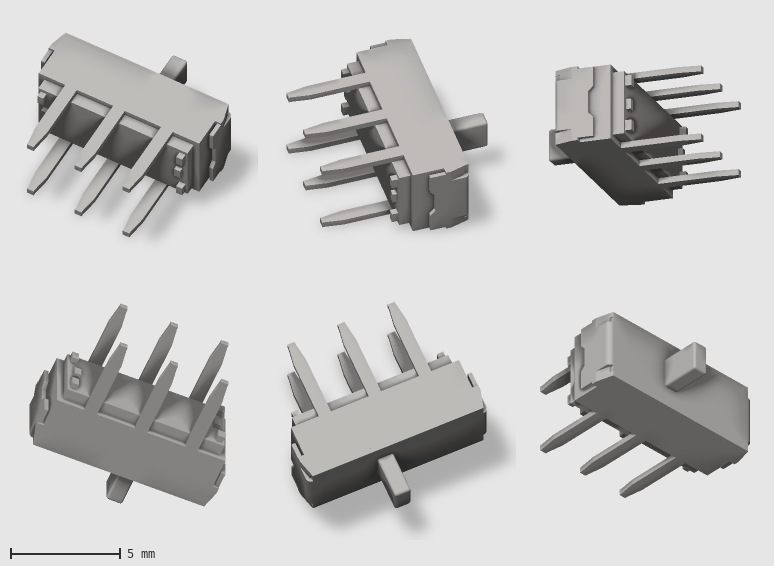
import cadquery as cq


body_length = 9.0
body_height = 3.6

head_depth = 1.15
trunk_length = 8.39
trunk_end = 2.65
base_length = 7.79
base_end = 3.2
head_chamfer_x = 0.24
head_chamfer_y = 0.89

foot_height = 0.495
foot_width = 0.315
corner_foot_x = 3.63
corner_foot_z = 1.09
corner_foot_end = 3.52
middle_foot_x = 3.47
middle_foot_end = 3.43

knob_x = 0.63
knob_width = 0.79
knob_height = 1.53
knob_tip = 2.0
knob_fillet = 0.12

sheet = 0.2
bend_radius = 0.25
plate_length = body_length - 2 * bend_radius
plate_height = 3.08
lug_length = 5.85
strap_height = 2.44
flap_height = 3.37
flap_end = 1.9
notch_depth = 0.24
notch_floor_height = 1.0
notch_mouth_height = notch_floor_height + 2 * notch_depth

pin_count = 3
pin_pitch = 2.5
pin_width = 0.61
pin_tip_width = 0.36
pin_start = 1.8
pin_taper_start = 5.49
pin_taper_end = 6.35
pin_end = 6.5
base_height = 3.02
pin_thickness = (body_height - base_height) / 2


def block(length, y_front, y_back, height, x=0, z=0):
    """A box centred on x and z that runs from y_front to y_back along Y."""
    depth = abs(y_back - y_front)
    return cq.Workplane("XY").box(length, depth, height).translate((x, (y_front + y_back) / 2, z))


def make_knob():
    """The knob bar, rounded along its length and around its tip, rooted on the housing."""
    bar = block(knob_width, -sheet, knob_tip, knob_height, x=knob_x)
    return bar.edges("|Y or >Y").fillet(knob_fillet)


def make_strap():
    """The U-shaped strap across the front and down both ends of the head."""
    outer = block(body_length, 0, -head_depth, strap_height)
    outer = outer.edges("|Z and >Y").fillet(bend_radius)
    inner = block(body_length - 2 * sheet, -sheet, -head_depth, strap_height)
    inner = inner.edges("|Z and >Y").fillet(bend_radius - sheet)
    return outer.cut(inner)


def make_flap(side):
    """The wide end of the strap, with a tapered notch in its free edge."""
    half_flap = flap_height / 2
    half_mouth = notch_mouth_height / 2
    half_floor = notch_floor_height / 2
    outline = [
        (-head_depth, -half_flap),
        (-flap_end, -half_flap),
        (-flap_end, -half_mouth),
        (notch_depth - flap_end, -half_floor),
        (notch_depth - flap_end, half_floor),
        (-flap_end, half_mouth),
        (-flap_end, half_flap),
        (-head_depth, half_flap),
    ]
    flap = cq.Workplane("YZ").polyline(outline).close().extrude(sheet / 2, both=True)
    return flap.translate((side * (body_length - sheet) / 2, 0, 0))


def make_cover():
    """The front plate with its lugs, the bent strap and two flaps; the knob passes through it."""
    cover = block(plate_length, 0, -sheet, plate_height)
    cover = cover.union(block(lug_length, 0, -sheet, body_height))
    cover = cover.union(make_strap())
    for side in (-1, 1):
        cover = cover.union(make_flap(side))
    return cover.cut(make_knob())


def make_pin(x, side):
    """A flat pin with a tapered end, flush with the housing face on the given Z side."""
    half_width = pin_width / 2
    half_tip = pin_tip_width / 2
    outline = [
        (x - half_width, -pin_start),
        (x - half_width, -pin_taper_start),
        (x - half_tip, -pin_taper_end),
        (x - half_tip, -pin_end),
        (x + half_tip, -pin_end),
        (x + half_tip, -pin_taper_end),
        (x + half_width, -pin_taper_start),
        (x + half_width, -pin_start),
    ]
    pin = cq.Workplane("XY").polyline(outline).close().extrude(pin_thickness / 2, both=True)
    return pin.translate((0, 0, side * (body_height - pin_thickness) / 2))


def make_head():
    """The wide front of the housing, with its end corners cut back at a slope."""
    half_length = body_length / 2
    half_front = half_length - head_chamfer_x
    outline = [
        (-half_front, 0),
        (half_front, 0),
        (half_length, -head_chamfer_y),
        (half_length, -head_depth),
        (-half_length, -head_depth),
        (-half_length, -head_chamfer_y),
    ]
    return cq.Workplane("XY").polyline(outline).close().extrude(body_height / 2, both=True)


def make_feet():
    """Two corner feet and a shorter middle foot at each end of the base."""
    feet = cq.Workplane("XY")
    for side in (-1, 1):
        feet = feet.add(block(foot_width, -base_end, -middle_foot_end, foot_height, side * middle_foot_x))
        for z in (-corner_foot_z, corner_foot_z):
            feet = feet.add(block(foot_width, -base_end, -corner_foot_end, foot_height, side * corner_foot_x, z))
    return feet


def make_housing(cover, pins):
    """The moulded housing with its knob, recessed for the cover and the pins."""
    housing = make_head()
    housing = housing.union(block(trunk_length, -head_depth, -trunk_end, body_height))
    housing = housing.union(block(base_length, -trunk_end, -base_end, base_height))
    for foot in make_feet().vals():
        housing = housing.union(cq.Workplane(foot))

    housing = housing.cut(block(body_length, 0, -sheet, plate_height))
    housing = housing.cut(cover)
    housing = housing.union(make_knob())
    for pin in pins:
        housing = housing.cut(pin)
    return housing


cover = make_cover()

pins = []
for side in (-1, 1):
    for index in range(pin_count):
        pin_x = (index - (pin_count - 1) / 2) * pin_pitch
        pins.append(make_pin(pin_x, side))

housing = make_housing(cover, pins)

result = cq.Compound.makeCompound([housing.val(), cover.val(), *[pin.val() for pin in pins]])